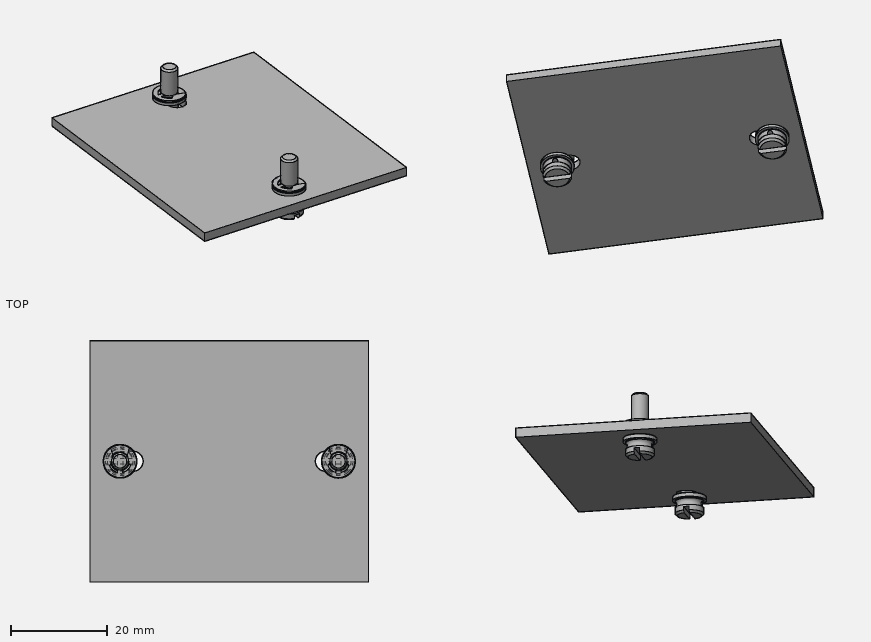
import cadquery as cq
import math

PLATE_LENGTH = 57.7
PLATE_WIDTH = 50.0
PLATE_THICKNESS = 2.0
SLOT_WIDTH = 4.1
SLOT_TRAVEL = 2.7

SCREW_OFFSET = 22.6
OVERALL_HEIGHT = 13.55
SHANK_RADIUS = 1.8
TIP_CHAMFER = 0.4
NECK_RADIUS = 1.45
NECK_RELIEF = 0.25

HEAD_RADIUS = 3.0
HEAD_HEIGHT = 3.25
HEAD_CHAMFER = 0.45
HEAD_RIM = 0.25
GROOVE_HEIGHT = 1.4
GROOVE_DEPTH = 0.35
WIRE_HOLE_DIAMETER = 1.15
DRIVER_SLOT_WIDTH = 1.15
DRIVER_SLOT_DEPTH = 1.2

WASHER_RADIUS = 3.5
WASHER_BORE_RADIUS = 1.9
UPPER_WASHER_THICKNESS = 0.8
LOWER_WASHER_THICKNESS = 0.9
WASHER_CHAMFER = 0.2
CLIP_RADIUS = 3.45
CLIP_THICKNESS = 0.35
CLIP_FLAT = 2.65
MOUTH_OUTER_HALF = 1.9
MOUTH_INNER_HALF = 1.15
POCKET_RADIUS = 2.35
POCKET_EDGE_START = 1.4
POCKET_START_ANGLE = 22.0
CENTRE_TAB_WIDTH = 1.0

PLATE_TOP = PLATE_THICKNESS
CLIP_BOTTOM = PLATE_TOP + UPPER_WASHER_THICKNESS
CLIP_TOP = CLIP_BOTTOM + CLIP_THICKNESS
SHANK_BOTTOM = CLIP_TOP + NECK_RELIEF
HEAD_TOP = -LOWER_WASHER_THICKNESS
HEAD_BOTTOM = HEAD_TOP - HEAD_HEIGHT
GROOVE_TOP = HEAD_TOP - HEAD_RIM
GROOVE_BOTTOM = GROOVE_TOP - GROOVE_HEIGHT
GROOVE_MIDDLE = (GROOVE_TOP + GROOVE_BOTTOM) / 2
TIP = HEAD_BOTTOM + OVERALL_HEIGHT


def disc(radius, bottom, height):
    return cq.Workplane("XY", origin=(0, 0, bottom)).circle(radius).extrude(height)


def washer(bottom, thickness):
    blank = disc(WASHER_RADIUS, bottom, thickness).faces(">Z").chamfer(WASHER_CHAMFER)
    return blank.cut(disc(WASHER_BORE_RADIUS, bottom, thickness))


def slotted_plate():
    plate = cq.Workplane("XY").box(
        PLATE_LENGTH, PLATE_WIDTH, PLATE_THICKNESS, centered=(True, True, False)
    )
    slot_centre = SCREW_OFFSET - SLOT_TRAVEL / 2
    slots = (
        cq.Workplane("XY")
        .pushPoints([(-slot_centre, 0), (slot_centre, 0)])
        .slot2D(SLOT_TRAVEL + SLOT_WIDTH, SLOT_WIDTH)
        .extrude(PLATE_THICKNESS)
    )
    return plate.cut(slots)


def screw():
    body = (
        cq.Workplane("XZ")
        .moveTo(0, HEAD_BOTTOM)
        .lineTo(HEAD_RADIUS - HEAD_CHAMFER, HEAD_BOTTOM)
        .lineTo(HEAD_RADIUS, HEAD_BOTTOM + HEAD_CHAMFER)
        .lineTo(HEAD_RADIUS, GROOVE_BOTTOM)
        .threePointArc((HEAD_RADIUS - GROOVE_DEPTH, GROOVE_MIDDLE), (HEAD_RADIUS, GROOVE_TOP))
        .lineTo(HEAD_RADIUS, HEAD_TOP)
        .lineTo(SHANK_RADIUS, HEAD_TOP)
        .lineTo(SHANK_RADIUS, CLIP_BOTTOM)
        .lineTo(NECK_RADIUS, CLIP_BOTTOM)
        .lineTo(NECK_RADIUS, SHANK_BOTTOM)
        .lineTo(SHANK_RADIUS, SHANK_BOTTOM)
        .lineTo(SHANK_RADIUS, TIP - TIP_CHAMFER)
        .lineTo(SHANK_RADIUS - TIP_CHAMFER, TIP)
        .lineTo(0, TIP)
        .close()
        .revolve(360, (0, 0, 0), (0, 1, 0))
    )
    driver_slot = cq.Workplane("XY", origin=(0, 0, HEAD_BOTTOM)).box(
        2 * HEAD_RADIUS, DRIVER_SLOT_WIDTH, DRIVER_SLOT_DEPTH, centered=(True, True, False)
    )
    wire_hole = (
        cq.Workplane("XZ", origin=(0, 0, GROOVE_MIDDLE))
        .circle(WIRE_HOLE_DIAMETER / 2)
        .extrude(HEAD_RADIUS, both=True)
    )
    return body.cut(driver_slot).cut(wire_hole)


def clip_pocket(side):
    start = -math.radians(POCKET_START_ANGLE)
    end = -math.acos(CENTRE_TAB_WIDTH / 2 / POCKET_RADIUS)
    middle = (start + end) / 2

    def rim_point(angle):
        return side * POCKET_RADIUS * math.cos(angle), POCKET_RADIUS * math.sin(angle)

    return (
        cq.Workplane("XY", origin=(0, 0, CLIP_BOTTOM))
        .moveTo(side * CENTRE_TAB_WIDTH / 2, 0)
        .lineTo(side * POCKET_EDGE_START, 0)
        .lineTo(*rim_point(start))
        .threePointArc(rim_point(middle), rim_point(end))
        .close()
        .extrude(CLIP_THICKNESS)
    )


def retaining_clip():
    clip = disc(CLIP_RADIUS, CLIP_BOTTOM, CLIP_THICKNESS)
    beyond_flat = cq.Workplane("XY", origin=(0, CLIP_FLAT, CLIP_BOTTOM)).box(
        2 * CLIP_RADIUS, CLIP_RADIUS, CLIP_THICKNESS, centered=(True, False, False)
    )
    mouth = (
        cq.Workplane("XY", origin=(0, 0, CLIP_BOTTOM))
        .polyline(
            [
                (-MOUTH_INNER_HALF, 0),
                (MOUTH_INNER_HALF, 0),
                (MOUTH_OUTER_HALF, CLIP_FLAT),
                (-MOUTH_OUTER_HALF, CLIP_FLAT),
            ]
        )
        .close()
        .extrude(CLIP_THICKNESS)
    )
    clip = clip.cut(beyond_flat).cut(mouth)
    for side in (-1, 1):
        clip = clip.cut(clip_pocket(side))
    return clip


def screw_assembly():
    upper_washer = washer(PLATE_TOP, UPPER_WASHER_THICKNESS)
    lower_washer = washer(HEAD_TOP, LOWER_WASHER_THICKNESS)
    return screw().union(upper_washer).union(lower_washer).union(retaining_clip())


result = slotted_plate()
for screw_x in (-SCREW_OFFSET, SCREW_OFFSET):
    result = result.union(screw_assembly().translate((screw_x, 0, 0)))